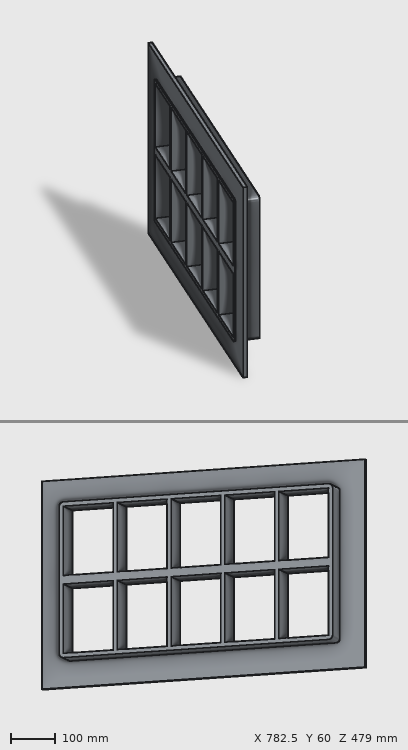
import cadquery as cq

flange_width = 782.5
flange_height = 479.0
flange_thickness = 10.0
flange_border = 60.0

block_depth = 60.0
block_front_lip = 3.0
block_corner_radius = 10.0
block_width = flange_width - 2 * flange_border
block_height = flange_height - 2 * flange_border

columns = 5
rows = 2
outer_wall = 10.0
column_rib = 10.0
row_rib = 20.0
window_width = (block_width - 2 * outer_wall - (columns - 1) * column_rib) / columns
window_height = (block_height - 2 * outer_wall - (rows - 1) * row_rib) / rows

flange_front = 0.0
block_front = flange_front - block_front_lip


def slab(width, height, front, depth):
    """Box centred in X and Z that runs from Y = front towards +Y."""
    return cq.Workplane("XY").box(width, depth, height).translate((0, front + depth / 2, 0))


def make_flange():
    return slab(flange_width, flange_height, flange_front, flange_thickness)


def make_block():
    block = slab(block_width, block_height, block_front, block_depth)
    return block.edges("|Y").fillet(block_corner_radius)


def cut_windows(body):
    """Cut the grid of rectangular windows through the whole depth."""
    window = slab(window_width, window_height, block_front, block_depth)
    column_pitch = window_width + column_rib
    row_pitch = window_height + row_rib
    for column in range(columns):
        x = (column - (columns - 1) / 2) * column_pitch
        for row in range(rows):
            z = (row - (rows - 1) / 2) * row_pitch
            body = body.cut(window.translate((x, 0, z)))
    return body


result = cut_windows(make_flange().union(make_block()))